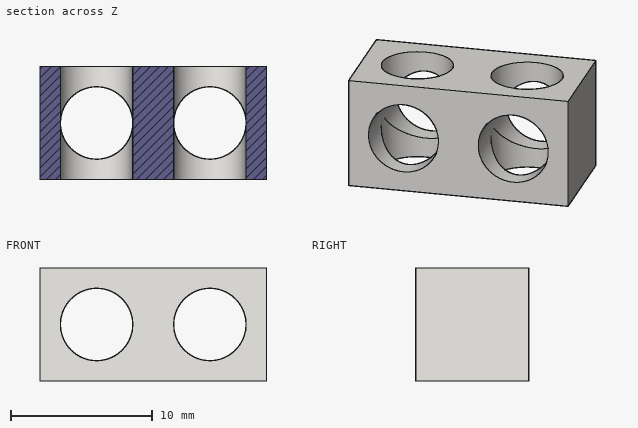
import cadquery as cq

cell_size = 8.0
cell_count = 2
hole_diameter = 5.1

beam_length = cell_size * cell_count
cell_centers = [((i + 0.5) * cell_size - beam_length / 2, 0) for i in range(cell_count)]


def drill_through(body, face_selector):
    """Drill one through hole per cell, square to the selected face."""
    return (
        body.faces(face_selector)
        .workplane(centerOption="CenterOfBoundBox")
        .pushPoints(cell_centers)
        .hole(hole_diameter)
    )


beam = cq.Workplane("XY").box(beam_length, cell_size, cell_size)
beam = drill_through(beam, ">Z")
result = drill_through(beam, "<Y")